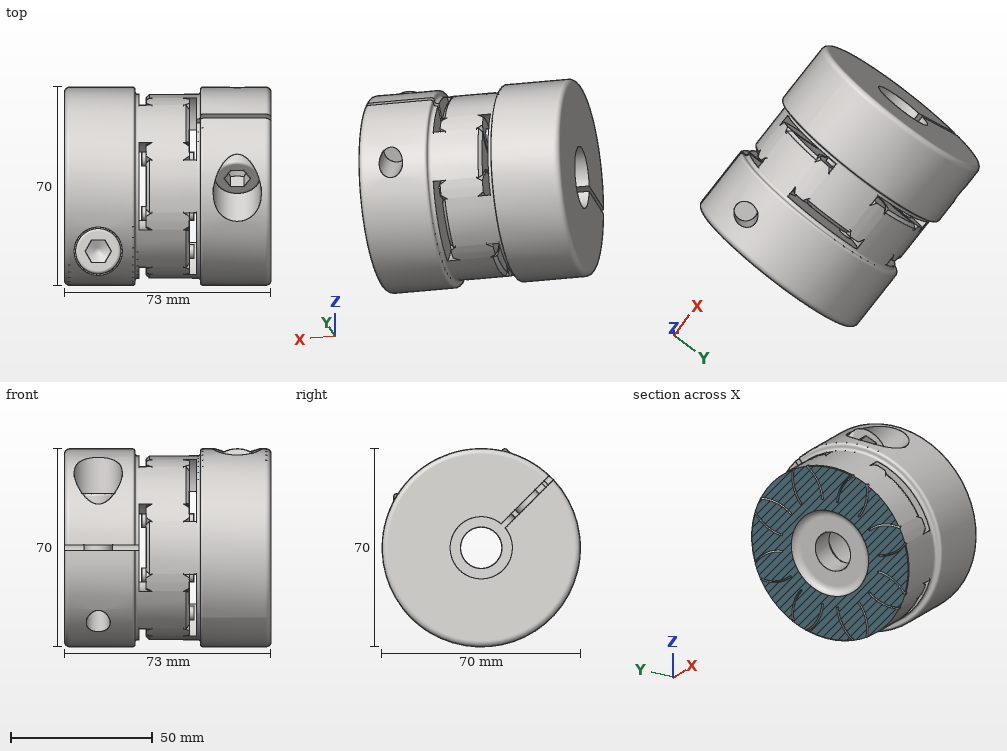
import cadquery as cq
import math

LENGTH = 73.0
HUB_RADIUS = 70.0 / 2
FLANGE_RADIUS = 32.5
BORE_DIAMETER = 22.0

HUB_WIDTH = 25.0
FLANGE_END = 26.4
OUTER_FILLET = 2.0
NECK_FILLET = 0.95
HUB_TURN = 45.0

SPIDER_WIDTH = 15.3
SPIDER_BORE = 14.5
SPIDER_START = (LENGTH - SPIDER_WIDTH) / 2
SPIDER_END = SPIDER_START + SPIDER_WIDTH
RECESS_RADIUS = 16.05
RECESS_DEPTH = 3.0

JAW_COUNT = 4
JAW_INNER_RADIUS = 20.0
JAW_CHAMFER = 1.25
LOBE_COUNT = 2 * JAW_COUNT
LOBE_PITCH = 360.0 / LOBE_COUNT
LOBE_ARC_RADIUS = 30.0 / 2
LOBE_ARC_CENTER = 24.1
LOBE_ARC_OFFSET = 9.3
LOBE_TAPER_LENGTH = 2.05
LOBE_TAPER_DEPTH = 1.0
PIN_RING_RADIUS = 25.0
PIN_DIAMETER = 5.0
PIN_HEIGHT = 1.5

SLOT_WIDTH = 2.05
SCREW_X = 12.0
SCREW_Y = -22.9
SEAT_Z = 9.1
COUNTERBORE_DIAMETER = 17.0
CLEARANCE_DIAMETER = 10.4
TAPPED_DIAMETER = 8.5
HEAD_DIAMETER = 16.0
HEAD_HEIGHT = 10.0
HEAD_FILLET = 1.0
SHANK_DIAMETER = 10.0
SHANK_LENGTH = 25.0
HEX_FLATS = 8.0
HEX_DEPTH = 5.0
HEX_CONE_ANGLE = 120.0


def disc_x(diameter, start, end, y=0.0, z=0.0):
    """Cylinder along X."""
    return cq.Workplane("YZ", origin=(start, y, z)).circle(diameter / 2).extrude(end - start)


def screw_cylinder(diameter, bottom, top):
    """Cylinder on the clamp screw axis."""
    base = cq.Workplane("XY", origin=(SCREW_X, SCREW_Y, bottom))
    return base.circle(diameter / 2).extrude(top - bottom)


def turn_x(shape, angle):
    """Shape turned about the coupling axis."""
    return shape.rotate((0, 0, 0), (1, 0, 0), angle)


def make_hub_body():
    """Turned hub with rounded rims, a narrower flange and a sleeve to be cut into jaws."""
    bore_radius = BORE_DIAMETER / 2
    bend = NECK_FILLET * math.sqrt(0.5)
    outer_bend = OUTER_FILLET * (1 - math.sqrt(0.5))
    rim_start = HUB_WIDTH - NECK_FILLET
    rim_radius = HUB_RADIUS - NECK_FILLET
    neck_radius = FLANGE_RADIUS + NECK_FILLET
    neck_end = HUB_WIDTH + NECK_FILLET
    profile = (
        cq.Workplane("XY")
        .moveTo(0, bore_radius)
        .lineTo(0, HUB_RADIUS - OUTER_FILLET)
        .threePointArc((outer_bend, HUB_RADIUS - outer_bend), (OUTER_FILLET, HUB_RADIUS))
        .lineTo(rim_start, HUB_RADIUS)
        .threePointArc((rim_start + bend, rim_radius + bend), (HUB_WIDTH, rim_radius))
        .lineTo(HUB_WIDTH, neck_radius)
        .threePointArc((neck_end - bend, neck_radius - bend), (neck_end, FLANGE_RADIUS))
        .lineTo(SPIDER_END - JAW_CHAMFER, FLANGE_RADIUS)
        .lineTo(SPIDER_END, FLANGE_RADIUS - JAW_CHAMFER)
        .lineTo(SPIDER_END, JAW_INNER_RADIUS)
        .lineTo(FLANGE_END, JAW_INNER_RADIUS)
        .lineTo(FLANGE_END, bore_radius)
        .close()
    )
    return profile.revolve(360, (0, 0, 0), (1, 0, 0))


def lens(disc):
    """Overlap of two copies of a disc, centred on the +Y axis."""
    left = disc.translate((0, LOBE_ARC_CENTER, LOBE_ARC_OFFSET))
    right = disc.translate((0, LOBE_ARC_CENTER, -LOBE_ARC_OFFSET))
    return left.intersect(right)


def cut_jaws(hub):
    """Cut the sleeve into jaws whose flanks are hollowed by the neighbouring lobes."""
    flank = lens(disc_x(2 * LOBE_ARC_RADIUS, FLANGE_END, SPIDER_END))
    gap_width = 2 * PIN_RING_RADIUS * math.sin(math.radians(LOBE_PITCH / 2))
    gap = cq.Workplane("XY", origin=(FLANGE_END, 0, 0)).box(
        SPIDER_END - FLANGE_END, HUB_RADIUS, gap_width, centered=(False, False, True)
    )
    for index in range(LOBE_COUNT):
        hub = hub.cut(turn_x(flank, (index + 0.5) * LOBE_PITCH))
    for index in range(JAW_COUNT):
        hub = hub.cut(turn_x(gap, index * 360.0 / JAW_COUNT))
    return hub


def make_screw():
    """Socket head screw with a cone at the bottom of the hexagon."""
    head_top = SEAT_Z + HEAD_HEIGHT
    corner_diameter = HEX_FLATS / math.cos(math.pi / 6)
    cone_height = corner_diameter / 2 / math.tan(math.radians(HEX_CONE_ANGLE / 2))
    head = screw_cylinder(HEAD_DIAMETER, SEAT_Z, head_top).faces(">Z").edges().fillet(HEAD_FILLET)
    shank = screw_cylinder(SHANK_DIAMETER, SEAT_Z - SHANK_LENGTH, SEAT_Z)
    hexagon = (
        cq.Workplane("XY", origin=(SCREW_X, SCREW_Y, head_top))
        .polygon(6, corner_diameter)
        .extrude(-HEX_DEPTH - cone_height)
    )
    drill = (
        cq.Workplane("XZ", origin=(SCREW_X, SCREW_Y, head_top))
        .polyline([
            (0, 0),
            (corner_diameter / 2, 0),
            (corner_diameter / 2, -HEX_DEPTH),
            (0, -HEX_DEPTH - cone_height),
        ])
        .close()
        .revolve(360, (0, 0, 0), (0, 1, 0))
    )
    return head.union(shank).cut(hexagon.intersect(drill))


def make_hub():
    """Clamp hub, slotted on the -Y side, with its jaws and its screw."""
    hub = cut_jaws(make_hub_body())
    slot = cq.Workplane("XY").box(FLANGE_END, HUB_RADIUS, SLOT_WIDTH, centered=(False, False, True))
    hub = hub.cut(slot.translate((0, -HUB_RADIUS, 0)))
    hub = hub.cut(screw_cylinder(COUNTERBORE_DIAMETER, SEAT_Z, HUB_RADIUS))
    hub = hub.cut(screw_cylinder(CLEARANCE_DIAMETER, 0, SEAT_Z))
    hub = hub.cut(screw_cylinder(TAPPED_DIAMETER, -HUB_RADIUS, 0))
    return hub.union(make_screw())


def make_lobe():
    """Lens-shaped lobe with tapered ends, trimmed to the jaw diameter."""
    end_radius = LOBE_ARC_RADIUS - LOBE_TAPER_DEPTH
    profile = cq.Workplane("XY").polyline([
        (SPIDER_START, 0),
        (SPIDER_START, end_radius),
        (SPIDER_START + LOBE_TAPER_LENGTH, LOBE_ARC_RADIUS),
        (SPIDER_END - LOBE_TAPER_LENGTH, LOBE_ARC_RADIUS),
        (SPIDER_END, end_radius),
        (SPIDER_END, 0),
    ])
    lobe = lens(profile.close().revolve(360, (0, 0, 0), (1, 0, 0)))
    return lobe.intersect(disc_x(2 * FLANGE_RADIUS, SPIDER_START, SPIDER_END))


def make_recess():
    """Shallow dish in a spider face, its wall a quarter round as deep as the dish."""
    bottom_x = SPIDER_START + RECESS_DEPTH
    bend = RECESS_DEPTH * math.sqrt(0.5)
    profile = (
        cq.Workplane("XY")
        .moveTo(SPIDER_START, 0)
        .lineTo(SPIDER_START, RECESS_RADIUS)
        .threePointArc(
            (SPIDER_START + bend, RECESS_RADIUS - RECESS_DEPTH + bend),
            (bottom_x, RECESS_RADIUS - RECESS_DEPTH),
        )
        .lineTo(bottom_x, 0)
        .close()
    )
    return profile.revolve(360, (0, 0, 0), (1, 0, 0))


def make_spider():
    """Dished ring with eight lobes; the spacer pins alternate between its two faces."""
    spider = disc_x(2 * JAW_INNER_RADIUS, SPIDER_START, SPIDER_END)
    lobe = make_lobe()
    near_pin = disc_x(PIN_DIAMETER, SPIDER_START - PIN_HEIGHT, SPIDER_START, PIN_RING_RADIUS)
    far_pin = disc_x(PIN_DIAMETER, SPIDER_END, SPIDER_END + PIN_HEIGHT, PIN_RING_RADIUS)
    for index in range(LOBE_COUNT):
        pin = far_pin if index % 2 else near_pin
        spider = spider.union(turn_x(lobe.union(pin), (index + 0.5) * LOBE_PITCH))
    recess = make_recess()
    mirrored_recess = recess.mirror("YZ", (LENGTH / 2, 0, 0))
    spider = spider.cut(recess).cut(mirrored_recess)
    return spider.cut(disc_x(SPIDER_BORE, SPIDER_START, SPIDER_END))


near_hub = make_hub()
far_hub = near_hub.rotate((0, 0, 0), (0, 0, 1), 180).translate((LENGTH, 0, 0))
far_hub = turn_x(far_hub, HUB_TURN)
result = near_hub.union(make_spider()).union(far_hub)